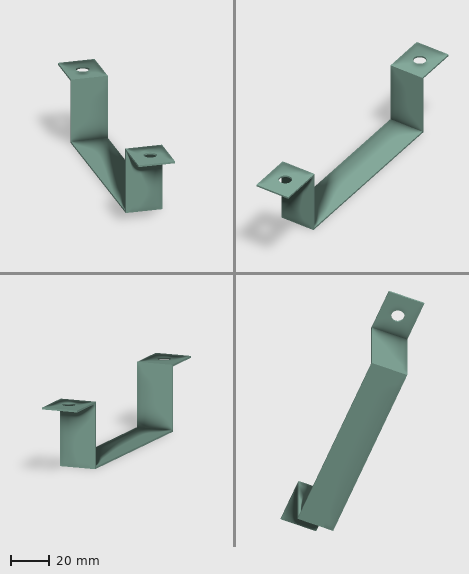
import cadquery as cq

length = 152.0
width = 20.0
height = 36.0
thickness = 1.0

flange_length = 25.0
hole_diameter = 7.0
hole_inset = 12.3


def make_strip():
    """Hat-shaped strip with square bends, centred on X and Y, base at Z = 0."""
    end_x = length / 2
    inner_x = end_x - flange_length
    outer_x = inner_x + thickness
    flange_bottom = height - thickness
    right_half = [
        (outer_x, 0),
        (outer_x, flange_bottom),
        (end_x, flange_bottom),
        (end_x, height),
        (inner_x, height),
        (inner_x, thickness),
    ]
    left_half = [(-x, z) for x, z in reversed(right_half)]
    profile = cq.Workplane("XZ").polyline(right_half + left_half).close()
    return profile.extrude(width / 2, both=True)


def make_flange_holes():
    """Cutters for the one hole through the middle of each flange."""
    hole_x = length / 2 - hole_inset
    return (
        cq.Workplane("XY")
        .workplane(offset=height - thickness)
        .pushPoints([(-hole_x, 0), (hole_x, 0)])
        .circle(hole_diameter / 2)
        .extrude(thickness)
    )


result = make_strip().cut(make_flange_holes())